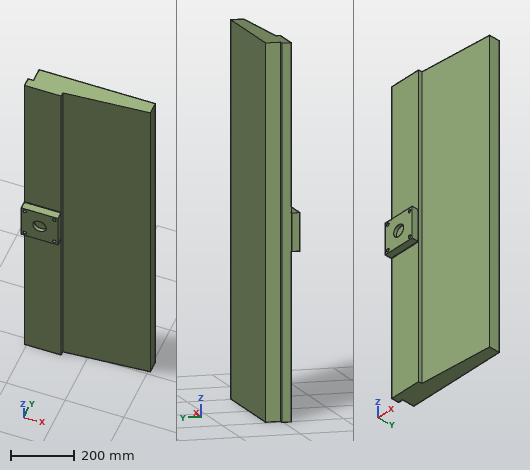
import cadquery as cq

height = 1226.0
total_width = 415.0
total_depth = 108.0

plate_size = 125.0
plate_thickness = 26.0
bore_diameter = 45.0
bore_depth = 12.0
screw_hole_diameter = 11.0
screw_hole_spacing = 100.0

pad_thickness = 2.0

panel_front = plate_thickness + pad_thickness
back_notch_width = 18.0
back_notch_depth = 49.0
taper_start_depth = 65.0
taper_end_depth = 43.0


def make_panel():
    """Full-height tapered panel with a flat front strip and a notch along its rear left edge."""
    outline = [
        (0, panel_front),
        (plate_size, panel_front),
        (plate_size, total_depth - taper_start_depth),
        (total_width, total_depth - taper_end_depth),
        (total_width, total_depth),
        (back_notch_width, total_depth),
        (back_notch_width, total_depth - back_notch_depth),
        (0, total_depth - back_notch_depth),
    ]
    return cq.Workplane("XY").polyline(outline).close().extrude(height)


def square_plane(front_y):
    """Workplane facing -Y, centred on the plate, at the given Y."""
    return cq.Workplane("XZ", origin=(plate_size / 2, front_y, height / 2))


def make_pad():
    """Plain square pad filling the space between the plate and the panel."""
    return square_plane(plate_thickness).rect(plate_size, plate_size).extrude(-pad_thickness)


def make_plate():
    """Square plate centred on the height, in front of the pad."""
    front = square_plane(0)
    plate = front.rect(plate_size, plate_size).extrude(-plate_thickness)
    bore = front.circle(bore_diameter / 2).extrude(-bore_depth)
    screw_holes = (
        front.rect(screw_hole_spacing, screw_hole_spacing, forConstruction=True)
        .vertices()
        .circle(screw_hole_diameter / 2)
        .extrude(-plate_thickness)
    )
    return plate.cut(bore).cut(screw_holes)


panel = make_panel()
pad = make_pad()
plate = make_plate()

result = cq.Compound.makeCompound([panel.val(), pad.val(), plate.val()])